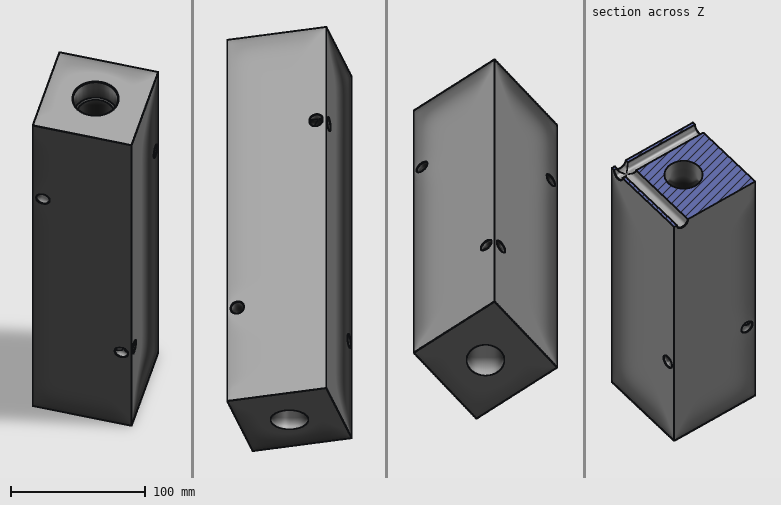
import cadquery as cq

SIDE = 76.2
HEIGHT = 311.0
EDGE_BREAK = 0.25

BORE_DIAMETER = 28.0
PORT_MOUTH_DIAMETER = 34.5
PORT_FLOOR_DIAMETER = 32.5
PORT_DEPTH = 16.8
PORT_BEVEL = 0.55

CROSS_HOLE_MOUTH_DIAMETER = 10.5
CROSS_HOLE_BEVEL = 0.37
CROSS_HOLE_OFFSET = 30.2
CROSS_HOLE_HEIGHT = 76.2


def make_bar():
    """Square bar with all its edges slightly broken."""
    return cq.Workplane("XY").box(SIDE, SIDE, HEIGHT).edges().chamfer(EDGE_BREAK)


def make_bore():
    return cq.Workplane("XY").circle(BORE_DIAMETER / 2).extrude(HEIGHT / 2, both=True)


def make_port():
    """Plug that narrows from a 45 degree bevel at the mouth down a slow taper to a flat floor."""
    top = HEIGHT / 2
    floor = top - PORT_DEPTH
    mouth_radius = PORT_MOUTH_DIAMETER / 2
    profile = [
        (0, top),
        (mouth_radius, top),
        (mouth_radius - PORT_BEVEL, top - PORT_BEVEL),
        (PORT_FLOOR_DIAMETER / 2, floor),
        (0, floor),
    ]
    return cq.Workplane("XZ").polyline(profile).close().revolve(360, (0, 0, 0), (0, 1, 0))


def make_cross_hole():
    """Upright plug as long as the bar is wide, flared to a bevel at both ends."""
    end = SIDE / 2
    mouth_radius = CROSS_HOLE_MOUTH_DIAMETER / 2
    hole_radius = mouth_radius - CROSS_HOLE_BEVEL
    profile = [
        (0, end),
        (mouth_radius, end),
        (hole_radius, end - CROSS_HOLE_BEVEL),
        (hole_radius, CROSS_HOLE_BEVEL - end),
        (mouth_radius, -end),
        (0, -end),
    ]
    return cq.Workplane("XZ").polyline(profile).close().revolve(360, (0, 0, 0), (0, 1, 0))


result = make_bar().cut(make_bore()).cut(make_port())

hole_along_x = make_cross_hole().rotate((0, 0, 0), (0, 1, 0), 90)
hole_along_y = make_cross_hole().rotate((0, 0, 0), (1, 0, 0), 90)

for level in (1, -1):
    offset = level * CROSS_HOLE_OFFSET
    height = level * CROSS_HOLE_HEIGHT
    result = result.cut(hole_along_x.translate((0, offset, height)))
    result = result.cut(hole_along_y.translate((-offset, 0, height)))